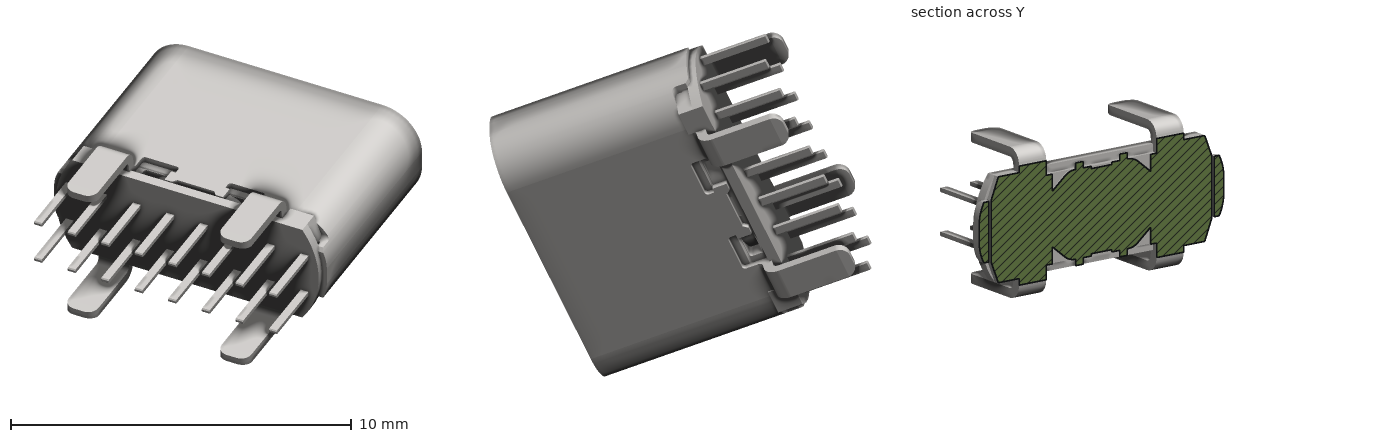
import cadquery as cq
import math

SHELL_WIDTH = 8.94
SHELL_HEIGHT = 3.15
SHELL_RADIUS = 1.3
SHELL_WALL = 0.2
SHELL_START = 0.215
SHELL_END = 6.49
SHELL_TOP = SHELL_HEIGHT / 2
FLOOR = SHELL_TOP - SHELL_WALL

PLATE_WIDTH = 8.62
PLATE_FLAT = 7.545
PLATE_HEIGHT = 3.245
PLATE_THICKNESS = 0.32
PLATE_TOP = PLATE_HEIGHT / 2
PLATE_BULGE = (PLATE_WIDTH - PLATE_FLAT) / 2
LUG_END = 0.77
LUG_BOTTOM = 0.93
LUG_SIDE = 4.04
CORNER_RADIUS = 0.125
SIDE_GAP = 0.06
SIDE_GAP_END = 0.53

TAB_SPACING = 5.015
TAB_WIDTH = 0.99
TAB_THICKNESS = 0.295
TAB_SPAN = 4.6
TAB_TOP = TAB_SPAN / 2
TAB_BEND_RADIUS = 0.465
TAB_BEND_Y = 0.03
TAB_LEAN = math.radians(10)
TAB_MID_BEND = (TAB_LEAN + math.pi / 2) / 2
TAB_ROOT_RADIUS = 0.16
TAB_TIP_RADIUS = 0.33
TAB_TIP_LENGTH = 0.295
TAB_TIP_TAPER = 0.04
TAB_INNER_EDGE = (TAB_SPACING - TAB_WIDTH) / 2
TAB_OUTER_EDGE = (TAB_SPACING + TAB_WIDTH) / 2

PIN_COLUMNS = 8
PIN_PITCH = 1.1
PIN_ROW_SPACING = 1.34
PIN_WIDTH = 0.25
PIN_THICKNESS = 0.13
PIN_TIP_BEVEL = 0.04
TAIL_LENGTH = 2.11

WALL_EDGE = 0.43
SLOT_HEAD_INNER = 0.81
SLOT_NECK_INNER = 0.96
SLOT_NECK_END = 0.88
SLOT_END = 1.14
SLOT_RADIUS = 0.11
RELIEF_EDGE = 0.57
RELIEF_HALF_WIDTH = 0.61
RELIEF_FLARE = 0.11
RELIEF_GROOVE_HALF = 0.36
SLOT_GROOVE_END = 0.92
GROOVE_WIDTH = 0.07

POCKET_OUTER = 1.8
POCKET_BREAK = 1.34
POCKET_END = 0.83
POCKET_RADIUS = 0.09
RAMP_ANGLE = math.radians(40)


def box(x0, x1, y0, y1, z0, z1):
    """Box between two opposite corners."""
    return cq.Workplane("XY").box(x1 - x0, y1 - y0, z1 - z0, centered=False).translate((x0, y0, z0))


def mirrored(solid, plane):
    """The solid together with its mirror image."""
    return solid.union(solid.mirror(plane))


def in_four_corners(solid):
    return mirrored(mirrored(solid, "YZ"), "XY")


def make_shell():
    block = box(-SHELL_WIDTH / 2, SHELL_WIDTH / 2, SHELL_START, SHELL_END, -SHELL_TOP, SHELL_TOP)
    return block.edges("|Y").fillet(SHELL_RADIUS)


def make_plate():
    """Plate with flat top and bottom and bowed sides."""
    flat = PLATE_FLAT / 2
    side = flat + PLATE_BULGE
    return (
        cq.Workplane("XZ")
        .moveTo(-flat, PLATE_TOP)
        .lineTo(flat, PLATE_TOP)
        .threePointArc((side, 0), (flat, -PLATE_TOP))
        .lineTo(-flat, -PLATE_TOP)
        .threePointArc((-side, 0), (-flat, PLATE_TOP))
        .close()
        .extrude(-PLATE_THICKNESS)
    )


def make_lugs():
    """Blocks behind the plate corners, each with a steep flat outer side."""
    section = [
        (TAB_OUTER_EDGE, LUG_BOTTOM),
        (LUG_SIDE, LUG_BOTTOM),
        (PLATE_FLAT / 2, PLATE_TOP),
        (TAB_OUTER_EDGE, PLATE_TOP),
    ]
    return in_four_corners(cq.Workplane("XZ").polyline(section).close().extrude(-LUG_END))


def corner_cuts():
    """Shell corners removed to make room for the lugs, with the gaps beside them."""
    slope = PLATE_THICKNESS - SHELL_START
    corner = (
        cq.Workplane("YZ", origin=(TAB_OUTER_EDGE, 0, 0))
        .moveTo(SHELL_START, LUG_BOTTOM - slope)
        .lineTo(PLATE_THICKNESS, LUG_BOTTOM)
        .lineTo(LUG_END - CORNER_RADIUS, LUG_BOTTOM)
        .radiusArc((LUG_END, LUG_BOTTOM + CORNER_RADIUS), -CORNER_RADIUS)
        .lineTo(LUG_END, PLATE_TOP)
        .lineTo(SHELL_START, PLATE_TOP)
        .close()
        .extrude(SHELL_WIDTH / 2 - TAB_OUTER_EDGE)
    )
    gap = box(LUG_SIDE, LUG_SIDE + SIDE_GAP, PLATE_THICKNESS, SIDE_GAP_END, -PLATE_TOP, PLATE_TOP)
    return in_four_corners(corner).union(mirrored(gap, "YZ"))


def wall_cuts():
    """Openings through the top and bottom shell wall between the tabs."""
    edge_strip = box(-TAB_OUTER_EDGE, TAB_OUTER_EDGE, SHELL_START, WALL_EDGE, FLOOR, PLATE_TOP)
    neck = box(SLOT_NECK_INNER, TAB_INNER_EDGE, SHELL_START, SLOT_NECK_END, FLOOR, PLATE_TOP)
    head = box(SLOT_HEAD_INNER, TAB_INNER_EDGE, SLOT_NECK_END, SLOT_END, FLOOR, PLATE_TOP)
    head = head.edges("|Z and >Y").fillet(SLOT_RADIUS)
    relief_base = RELIEF_HALF_WIDTH + RELIEF_FLARE
    relief = (
        cq.Workplane("XY", origin=(0, 0, FLOOR))
        .polyline([
            (-relief_base, WALL_EDGE),
            (-RELIEF_HALF_WIDTH, RELIEF_EDGE),
            (RELIEF_HALF_WIDTH, RELIEF_EDGE),
            (relief_base, WALL_EDGE),
        ])
        .close()
        .extrude(PLATE_TOP - FLOOR)
    )
    one_side = edge_strip.union(mirrored(neck.union(head), "YZ")).union(relief)
    return mirrored(one_side, "XY")


def sloped_groove(x0, x1, y_end):
    """Groove in the insulator whose floor rises toward +Y."""
    y_start = y_end - GROOVE_WIDTH
    profile = [(y_start, FLOOR), (y_end, FLOOR), (y_start, FLOOR - GROOVE_WIDTH)]
    return cq.Workplane("YZ", origin=(x0, 0, 0)).polyline(profile).close().extrude(x1 - x0)


def insulator_cuts():
    """Ramped pockets and grooves in the insulator below the shell openings."""
    arc_radius = (POCKET_BREAK - SLOT_NECK_INNER) / math.sin(RAMP_ANGLE)
    break_depth = arc_radius * (1 - math.cos(RAMP_ANGLE))
    outer_depth = break_depth + (POCKET_OUTER - POCKET_BREAK) * math.tan(RAMP_ANGLE)
    pocket = (
        cq.Workplane("XZ", origin=(0, WALL_EDGE, 0))
        .moveTo(SLOT_NECK_INNER, FLOOR)
        .lineTo(POCKET_OUTER, FLOOR)
        .lineTo(POCKET_OUTER, FLOOR - outer_depth)
        .lineTo(POCKET_BREAK, FLOOR - break_depth)
        .radiusArc((SLOT_NECK_INNER, FLOOR), -arc_radius)
        .close()
        .extrude(WALL_EDGE - POCKET_END)
        .edges("|Z and >Y")
        .fillet(POCKET_RADIUS)
    )
    groove = sloped_groove(SLOT_NECK_INNER, TAB_INNER_EDGE, SLOT_GROOVE_END)
    center_groove = sloped_groove(-RELIEF_GROOVE_HALF, RELIEF_GROOVE_HALF, RELIEF_EDGE)
    return in_four_corners(pocket.union(groove)).union(mirrored(center_groove, "XY"))


def make_tabs():
    """Four tabs that lean out of the shell, then bend toward the board."""
    inner_radius = TAB_BEND_RADIUS - TAB_THICKNESS
    bend_z = TAB_TOP - TAB_BEND_RADIUS
    lean_y = math.cos(TAB_LEAN)
    lean_z = math.sin(TAB_LEAN)
    mid_y = math.cos(TAB_MID_BEND)
    mid_z = math.sin(TAB_MID_BEND)

    def on_bend(radius, along_y, along_z):
        return (TAB_BEND_Y + radius * along_y, bend_z + radius * along_z)

    def on_leg(radius, z):
        """Point at height z on the leg face tangent to a bend of this radius."""
        start_y, start_z = on_bend(radius, lean_y, lean_z)
        return (start_y + (start_z - z) * math.tan(TAB_LEAN), z)

    tangent_length = TAB_ROOT_RADIUS * math.tan((math.pi / 2 - TAB_LEAN) / 2)
    fillet_top = SHELL_TOP + tangent_length * lean_y
    root_y = on_leg(TAB_BEND_RADIUS, SHELL_TOP)[0] + tangent_length
    tip = -TAIL_LENGTH
    tip_start = tip + TAB_TIP_LENGTH
    tab = (
        cq.Workplane("YZ", origin=(TAB_INNER_EDGE, 0, 0))
        .moveTo(tip, TAB_TOP - TAB_TIP_TAPER)
        .lineTo(tip_start, TAB_TOP)
        .lineTo(TAB_BEND_Y, TAB_TOP)
        .threePointArc(on_bend(TAB_BEND_RADIUS, mid_y, mid_z), on_bend(TAB_BEND_RADIUS, lean_y, lean_z))
        .lineTo(*on_leg(TAB_BEND_RADIUS, fillet_top))
        .tangentArcPoint((root_y, SHELL_TOP), relative=False)
        .lineTo(root_y, FLOOR)
        .lineTo(*on_leg(inner_radius, FLOOR))
        .lineTo(*on_bend(inner_radius, lean_y, lean_z))
        .threePointArc(on_bend(inner_radius, mid_y, mid_z), on_bend(inner_radius, 0, 1))
        .lineTo(tip_start, TAB_TOP - TAB_THICKNESS)
        .lineTo(tip, TAB_TOP - TAB_THICKNESS + TAB_TIP_TAPER)
        .close()
        .extrude(TAB_WIDTH)
    )
    rounding = box(TAB_INNER_EDGE, TAB_OUTER_EDGE, tip, LUG_END, 0, TAB_TOP)
    rounding = rounding.edges("|Z and <Y").fillet(TAB_TIP_RADIUS)
    return in_four_corners(tab.intersect(rounding))


def make_pins():
    half_width = PIN_WIDTH / 2
    half_thick = PIN_THICKNESS / 2
    pin = box(-half_width, half_width, -TAIL_LENGTH, PLATE_THICKNESS, -half_thick, half_thick)
    pin = pin.faces("<Y").edges("|X").chamfer(PIN_TIP_BEVEL)
    pins = cq.Workplane("XY")
    for column in range(PIN_COLUMNS):
        x = (column - (PIN_COLUMNS - 1) / 2) * PIN_PITCH
        for side in (-1, 1):
            pins = pins.add(pin.translate((x, 0, side * PIN_ROW_SPACING / 2)))
    return pins.combine()


body = make_shell().cut(corner_cuts()).cut(wall_cuts()).cut(insulator_cuts())
for piece in (make_plate(), make_lugs(), make_tabs(), make_pins()):
    body = body.union(piece)
result = body